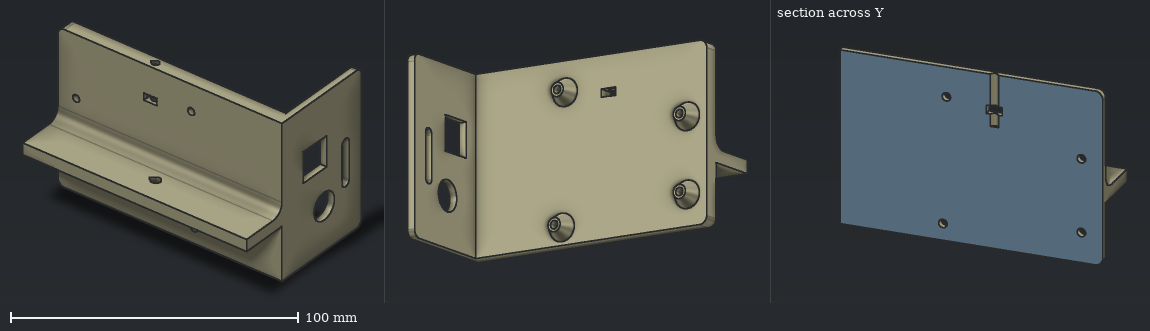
import cadquery as cq
import math

length = 99.0
height = 66.0
plate_thickness = 6.0
corner_radius = 3.0

wing_thickness = 3.0
wing_end_y = 45.0

ledge_reach = 20.0
ledge_thickness = 5.0
ledge_bottom_z = 23.0
ledge_top_z = ledge_bottom_z + ledge_thickness
ledge_fillet = 5.0
ledge_hole_x = 51.1
ledge_hole_diameter = 4.0

standoff_height = 5.0
standoff_base_diameter = 10.2
standoff_tip_diameter = 5.0
screw_diameter = 3.0
standoff_centers = [(8.1, 39.4), (8.1, 11.5), (58.9, 54.6), (60.2, 6.4)]

nut_center_x = 40.9
nut_center_z = 52.4
nut_width = 5.8
nut_thickness = 3.0
edge_hole_depth = 19.8

window_center = (18.7, 41.2)
window_width = 13.2
window_height = 13.0
wing_slot_center = (36.0, 30.8)
wing_slot_length = 20.0
wing_slot_width = 4.0
round_opening_center = (24.0, 18.9)
round_opening_diameter = 11.5


def box(x_range, y_range, z_range):
    """Box between the given limits on each axis."""
    (x0, x1), (y0, y1), (z0, z1) = x_range, y_range, z_range
    return cq.Workplane("XY").box(x1 - x0, y1 - y0, z1 - z0, centered=False).translate((x0, y0, z0))


def teardrop_hole(x, y, z_top, depth, diameter):
    """Vertical round hole with a 90 degree point toward -X, cut down from z_top."""
    radius = diameter / 2
    tangent_offset = radius / math.sqrt(2)
    tip_offset = radius * math.sqrt(2)
    return (
        cq.Workplane("XY", origin=(x, y, z_top))
        .moveTo(-tip_offset, 0)
        .lineTo(-tangent_offset, -tangent_offset)
        .threePointArc((radius, 0), (-tangent_offset, tangent_offset))
        .close()
        .extrude(-depth)
    )


def make_ledge():
    """Ledge with a concave fillet where its top meets the plate."""
    arc_offset = ledge_fillet * (1 - math.sqrt(0.5))
    return (
        cq.Workplane("YZ")
        .moveTo(0, ledge_bottom_z)
        .lineTo(-ledge_reach, ledge_bottom_z)
        .lineTo(-ledge_reach, ledge_top_z)
        .lineTo(-ledge_fillet, ledge_top_z)
        .threePointArc((-arc_offset, ledge_top_z + arc_offset), (0, ledge_top_z + ledge_fillet))
        .lineTo(plate_thickness / 2, ledge_top_z + ledge_fillet)
        .lineTo(plate_thickness / 2, ledge_bottom_z)
        .close()
        .extrude(length)
    )


def make_standoff(x, z):
    """Cone rising from the back of the plate toward +Y."""
    cone = cq.Solid.makeCone(
        standoff_base_diameter / 2,
        standoff_tip_diameter / 2,
        standoff_height,
        pnt=cq.Vector(x, plate_thickness, z),
        dir=cq.Vector(0, 1, 0),
    )
    return cq.Workplane(obj=cone)


def make_screw_hole(x, z):
    """Bore through plate and standoff."""
    bore_length = plate_thickness + standoff_height
    return cq.Workplane("XZ", origin=(x, 0, z)).circle(screw_diameter / 2).extrude(-bore_length)


def wing_sketch(center):
    """Workplane on the inner face of the wing."""
    y, z = center
    return cq.Workplane("YZ", origin=(length - wing_thickness, y, z))


plate = box((0, length), (0, plate_thickness), (0, height))
plate = plate.edges("|Y and <X").fillet(corner_radius)
wing = box((length - wing_thickness, length), (0, wing_end_y), (0, height))
wing = wing.edges("|X and >Y").fillet(corner_radius)
result = plate.union(wing).union(make_ledge())

for x, z in standoff_centers:
    result = result.union(make_standoff(x, z)).cut(make_screw_hole(x, z))

nut_slot = box(
    (nut_center_x - nut_width / 2, nut_center_x + nut_width / 2),
    (0, plate_thickness),
    (nut_center_z - nut_thickness / 2, nut_center_z + nut_thickness / 2),
)
edge_hole = teardrop_hole(nut_center_x, plate_thickness / 2, height, edge_hole_depth, screw_diameter)
result = result.cut(nut_slot).cut(edge_hole)

ledge_hole = teardrop_hole(
    ledge_hole_x, -ledge_reach / 2, ledge_top_z, ledge_thickness, ledge_hole_diameter
)
result = result.cut(ledge_hole)

window = wing_sketch(window_center).rect(window_width, window_height).extrude(wing_thickness)
wing_slot = wing_sketch(wing_slot_center).slot2D(wing_slot_length, wing_slot_width, 90).extrude(wing_thickness)
round_opening = wing_sketch(round_opening_center).circle(round_opening_diameter / 2).extrude(wing_thickness)
result = result.cut(window).cut(wing_slot).cut(round_opening)